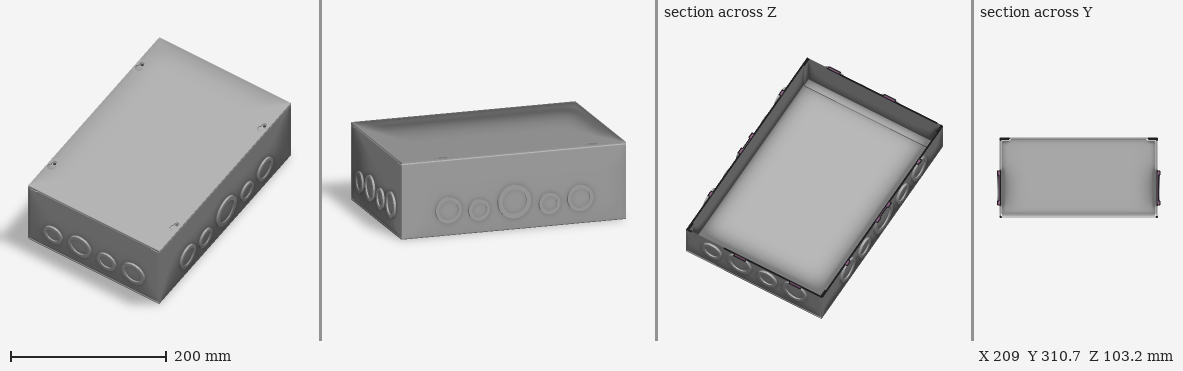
import cadquery as cq

SHEET = 1.5
BEND_RADIUS = 2.0
INNER_BEND_RADIUS = BEND_RADIUS - SHEET

LENGTH_OVER_KNOCKOUTS = 310.7
WIDTH_OVER_KNOCKOUTS = 209.0
TOTAL_HEIGHT = 103.2
KNOCKOUT_HEIGHT = 2.95
KNOCKOUT_RECESS = 2.0
BODY_LENGTH = LENGTH_OVER_KNOCKOUTS - 2 * KNOCKOUT_HEIGHT
BODY_WIDTH = WIDTH_OVER_KNOCKOUTS - 2 * KNOCKOUT_HEIGHT
WRAPPER_HEIGHT = TOTAL_HEIGHT - SHEET
INNER_WIDTH = BODY_WIDTH - 2 * SHEET

FLANGE_WIDTH = 12.5
FLANGE_GAP = 1.5
NOTCH_CLEARANCE = 1.2
FLOOR_GAP = 0.5
END_FLANGE_WIDTH = BODY_WIDTH - 2 * (FLANGE_WIDTH + FLANGE_GAP)
END_BOTTOM = SHEET + FLOOR_GAP
NOTCH_FLOOR = WRAPPER_HEIGHT - SHEET - NOTCH_CLEARANCE
END_FRONT = -BODY_LENGTH / 2

SMALL_KNOCKOUT = (14.3, 10.0)
MEDIUM_KNOCKOUT = (17.5, 13.0)
LARGE_KNOCKOUT = (22.5, 16.2)

SIDE_MEDIUM_Y = 89.5
SIDE_SMALL_Y = 48.0
SIDE_SMALL_Z = 31.5
SIDE_MEDIUM_Z = 34.8
SIDE_LARGE_Z = 38.2

END_KNOCKOUT_PITCH = 41.3
END_SMALL_Z = 33.5
END_MEDIUM_Z = 36.7

KEYHOLE_X = 94.5
KEYHOLE_NECK_Y = 101.5
KEYHOLE_DROP = 7.5
KEYHOLE_ENTRY_RADIUS = 5.3
KEYHOLE_NECK_RADIUS = 3.0
SCREW_HOLE_RADIUS = 2.2
KEYHOLE_NECKS = [(x, y) for x in (-KEYHOLE_X, KEYHOLE_X) for y in (-KEYHOLE_NECK_Y, KEYHOLE_NECK_Y)]


def block(x_size, y_size, z_bottom, z_top):
    """Box centred on the Z axis between two heights."""
    return cq.Workplane("XY").workplane(offset=z_bottom).rect(x_size, y_size).extrude(z_top - z_bottom)


def knockout(size, wall, along, height):
    """Raised disc with a round recess, on a vertical wall plane, `along` it and at `height`."""
    ring_radius, recess_radius = size
    base = cq.Workplane(wall).center(along, height)
    disc = base.circle(ring_radius).extrude(KNOCKOUT_HEIGHT)
    recess_floor = base.workplane(offset=KNOCKOUT_HEIGHT - KNOCKOUT_RECESS)
    recess = recess_floor.circle(recess_radius).extrude(KNOCKOUT_RECESS)
    return disc.cut(recess)


def make_wrapper():
    """Floor, both long sides and their inward top flanges, bent from one sheet."""
    tube = block(BODY_WIDTH, BODY_LENGTH, 0, WRAPPER_HEIGHT).edges("|Y").fillet(BEND_RADIUS)
    cavity = (
        block(INNER_WIDTH, BODY_LENGTH, SHEET, WRAPPER_HEIGHT - SHEET)
        .edges("|Y").fillet(INNER_BEND_RADIUS)
    )
    opening_width = BODY_WIDTH - 2 * FLANGE_WIDTH
    opening = block(opening_width, BODY_LENGTH, WRAPPER_HEIGHT / 2, WRAPPER_HEIGHT)
    wrapper = tube.cut(cavity).cut(opening)

    screw_holes = (
        cq.Workplane("XY")
        .workplane(offset=WRAPPER_HEIGHT / 2)
        .pushPoints(KEYHOLE_NECKS)
        .circle(SCREW_HOLE_RADIUS)
        .extrude(WRAPPER_HEIGHT / 2)
    )
    wrapper = wrapper.cut(screw_holes)

    side_knockouts = [
        (MEDIUM_KNOCKOUT, -SIDE_MEDIUM_Y, SIDE_MEDIUM_Z),
        (SMALL_KNOCKOUT, -SIDE_SMALL_Y, SIDE_SMALL_Z),
        (LARGE_KNOCKOUT, 0, SIDE_LARGE_Z),
        (SMALL_KNOCKOUT, SIDE_SMALL_Y, SIDE_SMALL_Z),
        (MEDIUM_KNOCKOUT, SIDE_MEDIUM_Y, SIDE_MEDIUM_Z),
    ]
    right_wall = cq.Plane(origin=(BODY_WIDTH / 2, 0, 0), xDir=(0, 1, 0), normal=(1, 0, 0))
    left_wall = cq.Plane(origin=(-BODY_WIDTH / 2, 0, 0), xDir=(0, -1, 0), normal=(-1, 0, 0))
    for wall in (right_wall, left_wall):
        for size, along, height in side_knockouts:
            wrapper = wrapper.union(knockout(size, wall, along, height))
    return wrapper


def end_channel(x_size, z_bottom, z_top, bend_edges, hollow_x, hollow_bottom, hollow_top):
    """Front panel web with two flanges running back along Y, bent about `bend_edges`."""
    outer = (
        block(x_size, FLANGE_WIDTH, z_bottom, z_top)
        .faces("<Y").edges(bend_edges).fillet(BEND_RADIUS)
    )
    hollow = (
        block(hollow_x, FLANGE_WIDTH, hollow_bottom, hollow_top)
        .faces("<Y").edges(bend_edges).fillet(INNER_BEND_RADIUS)
        .translate((0, SHEET, 0))
    )
    return outer.cut(hollow).translate((0, END_FRONT + FLANGE_WIDTH / 2, 0))


def make_end_panel():
    """Panel closing the -Y end: a web with four flanges and open corners between them."""
    tab_bottom = END_BOTTOM + BEND_RADIUS
    side_tabs = end_channel(
        INNER_WIDTH, tab_bottom, NOTCH_FLOOR, "|Z",
        INNER_WIDTH - 2 * SHEET, tab_bottom, NOTCH_FLOOR,
    )
    floor_flange_width = INNER_WIDTH - 2 * BEND_RADIUS
    top_and_bottom = end_channel(
        floor_flange_width, END_BOTTOM, WRAPPER_HEIGHT, "|X",
        floor_flange_width, END_BOTTOM + SHEET, WRAPPER_HEIGHT - SHEET,
    )
    corner_notches = (
        block(BODY_WIDTH, BODY_LENGTH, NOTCH_FLOOR, WRAPPER_HEIGHT)
        .cut(block(END_FLANGE_WIDTH, BODY_LENGTH, NOTCH_FLOOR, WRAPPER_HEIGHT))
    )
    panel = side_tabs.union(top_and_bottom.cut(corner_notches))

    front_wall = cq.Plane(origin=(0, END_FRONT, 0), xDir=(1, 0, 0), normal=(0, -1, 0))
    end_knockouts = [
        (SMALL_KNOCKOUT, END_SMALL_Z),
        (MEDIUM_KNOCKOUT, END_MEDIUM_Z),
        (SMALL_KNOCKOUT, END_SMALL_Z),
        (MEDIUM_KNOCKOUT, END_MEDIUM_Z),
    ]
    first_x = -END_KNOCKOUT_PITCH * (len(end_knockouts) - 1) / 2
    for index, (size, height) in enumerate(end_knockouts):
        along = first_x + index * END_KNOCKOUT_PITCH
        panel = panel.union(knockout(size, front_wall, along, height))
    return panel


def make_cover():
    """Flat plate on the flanges, with four keyholes whose necks point to +Y."""
    cover = block(BODY_WIDTH, BODY_LENGTH, WRAPPER_HEIGHT, TOTAL_HEIGHT)
    for x, neck_y in KEYHOLE_NECKS:
        entry_y = neck_y - KEYHOLE_DROP
        base = cq.Workplane("XY").workplane(offset=WRAPPER_HEIGHT)
        entry = base.center(x, entry_y).circle(KEYHOLE_ENTRY_RADIUS).extrude(SHEET)
        neck_end = base.center(x, neck_y).circle(KEYHOLE_NECK_RADIUS).extrude(SHEET)
        neck = (
            base.center(x, (entry_y + neck_y) / 2)
            .rect(2 * KEYHOLE_NECK_RADIUS, KEYHOLE_DROP)
            .extrude(SHEET)
        )
        cover = cover.cut(entry.union(neck).union(neck_end))
    return cover


wrapper = make_wrapper()
end_panels = [make_end_panel().rotate((0, 0, 0), (0, 0, 1), angle) for angle in (0, 180)]
cover = make_cover()

result = cq.Compound.makeCompound(
    [wrapper.val(), *[panel.val() for panel in end_panels], cover.val()]
)